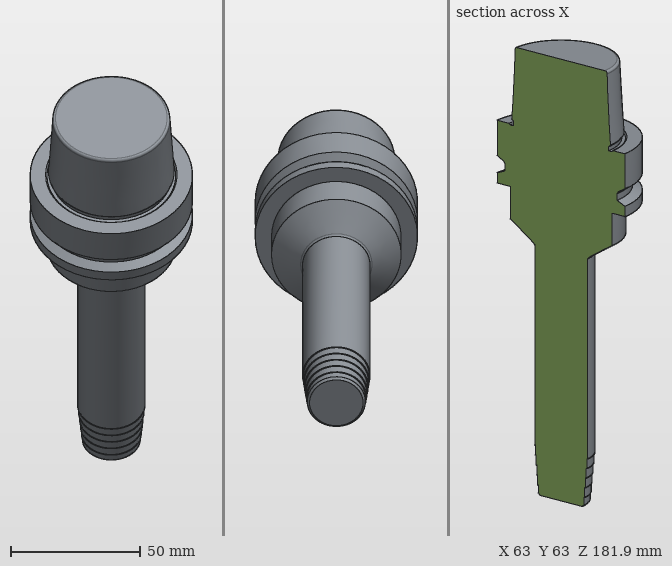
import cadquery as cq

total_length = 181.9

taper_height = 32.0
taper_top_radius = 22.7
taper_base_radius = 24.4
taper_edge_round = 1.1
undercut_top = 2.0
undercut_slope_end = 1.1
undercut_radius = 23.5
recess_radius = 25.5
recess_depth = 0.5

flange_radius = 31.5
flange_height = 26.0
groove_top = -14.5
groove_bottom = -21.6
groove_floor_top = -16.7
groove_floor_bottom = -20.0
groove_radius = 27.6
groove_corner = 0.5

collar_radius = 25.1
collar_bottom = -39.3
cone_bottom = -46.5
stem_radius = 13.1
stem_corner = 0.7

tip_length = 20.2
tip_end_radius = 11.3
tip_step_count = 5
tip_chamfer = 1.0

stem_end = taper_height - total_length
groove_slope = (groove_top - groove_floor_top) / (flange_radius - groove_radius)


def tip_step_points():
    """Inner and lower corner of each step, from the stem down to the last step's radius."""
    step_height = tip_length / tip_step_count
    step_inset = (stem_radius - tip_end_radius) / tip_step_count
    points = []
    for step in range(1, tip_step_count):
        radius = stem_radius - step * step_inset
        step_top = stem_end + tip_length - (step - 1) * step_height
        points.append((radius, step_top))
        points.append((radius, step_top - step_height))
    points.append((tip_end_radius, stem_end + step_height))
    return points


profile = (
    cq.Workplane("XZ")
    .moveTo(0, taper_height)
    .lineTo(taper_top_radius - taper_edge_round, taper_height)
    .radiusArc((taper_top_radius, taper_height - taper_edge_round), taper_edge_round)
    .lineTo(taper_base_radius, undercut_top)
    .lineTo(undercut_radius, undercut_slope_end)
    .lineTo(undercut_radius, -recess_depth)
    .lineTo(recess_radius - recess_depth, -recess_depth)
    .lineTo(recess_radius, 0)
    .lineTo(flange_radius, 0)
    .lineTo(flange_radius, groove_top)
    .lineTo(groove_radius + groove_corner, groove_floor_top + groove_corner * groove_slope)
    .lineTo(groove_radius, groove_floor_top - groove_corner)
    .lineTo(groove_radius, groove_floor_bottom)
    .lineTo(flange_radius, groove_bottom)
    .lineTo(flange_radius, -flange_height)
    .lineTo(collar_radius, -flange_height)
    .lineTo(collar_radius, collar_bottom)
    .lineTo(stem_radius + stem_corner, cone_bottom)
    .lineTo(stem_radius, cone_bottom - stem_corner)
    .lineTo(stem_radius, stem_end + tip_length)
    .polyline(tip_step_points(), includeCurrent=True)
    .lineTo(tip_end_radius, stem_end + tip_chamfer)
    .lineTo(tip_end_radius - tip_chamfer, stem_end)
    .lineTo(0, stem_end)
    .close()
)

result = profile.revolve(360, (0, 0, 0), (0, 1, 0))